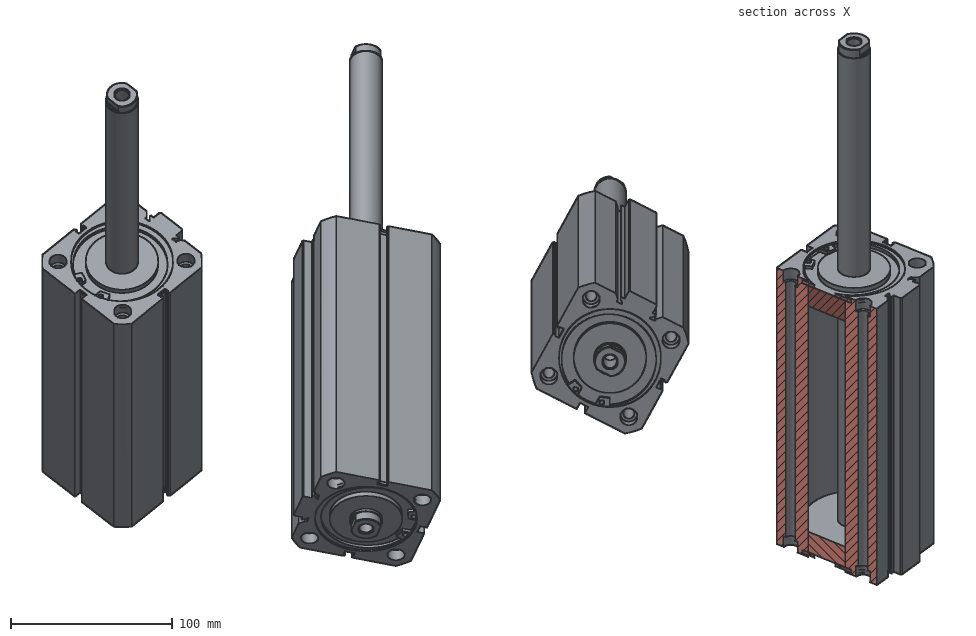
import cadquery as cq
import math


total_length = 382.0
body_width = 77.5
overall_depth = 83.0
body_bottom = 8.0
body_top = 213.5
corner_radius = 49.5

bore_radius = 31.7
groove_radius = 34.0
groove_lip = 1.35
ring_thickness = 2.1
ledge_depth = groove_lip + ring_thickness

bolt_spacing = 56.0
bolt_hole_diameter = 7.0
counterbore_diameter = 10.7
counterbore_depth = 8.0

groove_wall = 0.25
front_slot_width = 5.7
side_slot_mouth = 4.5
side_slot_width = 6.5
side_slot_lip = 2.0
side_slot_bevel = 0.8

channel_mouth_half = 16.5
channel_floor_half = 13.5
rail_half_width = 10.0
rail_foot_half = 12.2
rail_foot_top = 38.2
rail_foot_edge = 1.0
rail_corner_chamfer = 0.8

rod_diameter = 20.2
neck_diameter = 19.0
neck_length = 6.0
wrench_width = 16.5
flat_length = 5.0
rod_end_chamfer = 0.5
thread_diameter = 10.0
drill_diameter = 8.5
thread_depth = 18.0
drill_tip_angle = math.radians(118)
thread_chamfer = (thread_diameter - drill_diameter) / 2

cover_length = 19.0
boss_diameter = 45.0

ring_inner_radius = 29.5
ring_offset = 1.5
ring_gap = 12.5
lug_tip = 23.3
lug_shoulder = 25.5
lug_root = 31.7
lug_tip_x = 12.2
lug_root_x = 16.8
lug_hole_x = 9.0
lug_hole_y = 28.3
lug_hole_diameter = 3.0

body_half = body_width / 2
slot_floor = groove_radius + groove_wall
rail_top = overall_depth - body_half
body_length = body_top - body_bottom


def disc(radius, bottom, height):
    return cq.Workplane("XY").workplane(offset=bottom).circle(radius).extrude(height)


def body_prism(points):
    """Extrude an outline over the whole length of the body."""
    return cq.Workplane("XY").workplane(offset=body_bottom).polyline(points).close().extrude(body_length)


def mirrored(right_half):
    """Complete an outline that is symmetric about the Y axis."""
    return right_half + [(-x, y) for x, y in reversed(right_half)]


def front_slot():
    half = front_slot_width / 2
    return body_prism(mirrored([(half, -body_half), (half, -slot_floor)]))


def side_slot():
    """Slot on the +X side, with lips that narrow its mouth."""
    mouth = side_slot_mouth / 2
    half = side_slot_width / 2
    lip = body_half - side_slot_lip
    lower = [
        (body_half, -mouth - side_slot_bevel),
        (body_half - side_slot_bevel, -mouth),
        (lip, -mouth),
        (lip, -half),
        (slot_floor, -half),
    ]
    return body_prism(lower + [(x, -y) for x, y in reversed(lower)])


def rail_channel():
    bevel_bottom = body_half - (channel_mouth_half - channel_floor_half)
    half = [
        (channel_mouth_half, body_half),
        (channel_floor_half, bevel_bottom),
        (channel_floor_half, slot_floor),
    ]
    return body_prism(mirrored(half))


def sensor_rail():
    """Rail with a narrow foot on each side, whose underside slopes at 45 degrees."""
    foot_overhang = rail_foot_half - rail_half_width
    foot_edge_bottom = rail_foot_top - rail_foot_edge
    half = [
        (rail_half_width, slot_floor),
        (rail_half_width, foot_edge_bottom - foot_overhang),
        (rail_foot_half, foot_edge_bottom),
        (rail_foot_half, rail_foot_top),
        (rail_half_width, rail_foot_top),
        (rail_half_width, rail_top - rail_corner_chamfer),
        (rail_half_width - rail_corner_chamfer, rail_top),
    ]
    return body_prism(mirrored(half))


def bolt_holes():
    holes = (
        cq.Workplane("XY").workplane(offset=body_bottom)
        .rect(bolt_spacing, bolt_spacing, forConstruction=True).vertices()
        .circle(bolt_hole_diameter / 2).extrude(body_length)
    )
    for bottom in (body_bottom, body_top - counterbore_depth):
        counterbores = (
            cq.Workplane("XY").workplane(offset=bottom)
            .rect(bolt_spacing, bolt_spacing, forConstruction=True).vertices()
            .circle(counterbore_diameter / 2).extrude(counterbore_depth)
        )
        holes = holes.union(counterbores)
    return holes


def make_body():
    body = (
        cq.Workplane("XY").workplane(offset=body_bottom)
        .rect(body_width, body_width).extrude(body_length)
        .intersect(disc(corner_radius, body_bottom, body_length))
    )
    body = body.cut(rail_channel()).union(sensor_rail())
    body = body.cut(front_slot()).cut(side_slot()).cut(side_slot().mirror("YZ"))
    body = body.cut(bolt_holes()).cut(disc(bore_radius, body_bottom, body_length))
    for groove_bottom in (body_bottom + groove_lip, body_top - ledge_depth):
        body = body.cut(disc(groove_radius, groove_bottom, ring_thickness))
    return body


def tapped_hole():
    """Tapped hole in the upper end of the rod, with a countersunk mouth and a conical bottom."""
    drill_radius = drill_diameter / 2
    tip_depth = thread_depth + drill_radius / math.tan(drill_tip_angle / 2)
    profile = [
        (0, total_length),
        (thread_diameter / 2, total_length),
        (drill_radius, total_length - thread_chamfer),
        (drill_radius, total_length - thread_depth),
        (0, total_length - tip_depth),
    ]
    return cq.Workplane("XZ").polyline(profile).close().revolve(360, (0, 0, 0), (0, 1, 0))


def rod_end():
    """Everything to remove from the upper end of a plain rod: around the neck, and the tapped hole."""
    shoulder = total_length - neck_length
    neck = disc(neck_diameter / 2, shoulder, neck_length).faces(">Z").chamfer(rod_end_chamfer)
    flats = (
        cq.Workplane("XY").workplane(offset=total_length - flat_length)
        .rect(rod_diameter, wrench_width).extrude(flat_length)
        .union(disc(rod_diameter / 2, shoulder, neck_length - flat_length))
    )
    around_neck = disc(rod_diameter, shoulder, neck_length).cut(neck.intersect(flats))
    return around_neck.union(tapped_hole())


def make_rod():
    upper_end = rod_end()
    lower_end = upper_end.mirror("XY", (0, 0, total_length / 2))
    return disc(rod_diameter / 2, 0, total_length).cut(upper_end).cut(lower_end)


def make_cover():
    """Upper cover, with its boss flush with the end face of the body."""
    cover = disc(bore_radius, body_top - cover_length, cover_length - ledge_depth)
    cover = cover.union(disc(boss_diameter / 2, body_top - ledge_depth, ledge_depth))
    return cover.cut(disc(rod_diameter / 2, body_top - cover_length, cover_length))


def make_ring():
    """Upper retaining ring, open on the -Y side between its two lugs."""
    bottom = body_top - ledge_depth
    plane = cq.Workplane("XY").workplane(offset=bottom)
    ring = disc(groove_radius, bottom, ring_thickness)
    ring = ring.cut(plane.center(0, -ring_offset).circle(ring_inner_radius).extrude(ring_thickness))
    gap_half = ring_gap / 2
    for side in (-1, 1):
        lug = [
            (side * gap_half, -lug_root),
            (side * gap_half, -lug_shoulder),
            (side * lug_tip_x, -lug_tip),
            (side * lug_root_x, -lug_root),
        ]
        ring = ring.union(plane.polyline(lug).close().extrude(ring_thickness))
        hole = plane.center(side * lug_hole_x, -lug_hole_y).circle(lug_hole_diameter / 2)
        ring = ring.cut(hole.extrude(ring_thickness))
    gap = plane.center(0, -groove_radius).rect(ring_gap, groove_radius).extrude(ring_thickness)
    return ring.cut(gap)


def both_ends(upper):
    """The upper solid and its copy mirrored to the lower end of the body."""
    middle = (0, 0, (body_bottom + body_top) / 2)
    return [upper.val(), upper.mirror("XY", middle).val()]


body = make_body()
rod = make_rod()
covers = both_ends(make_cover())
rings = both_ends(make_ring())

result = cq.Compound.makeCompound([body.val(), rod.val(), *covers, *rings])